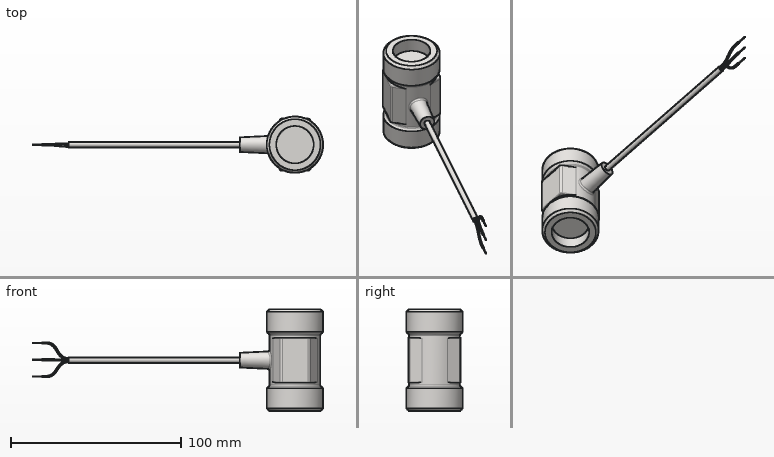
import cadquery as cq
import math

BODY_LENGTH = 60.0
OVERALL_X = 170.75

BODY_RADIUS = 30.0 / 2
COLLAR_RADIUS = 33.25 / 2
COLLAR_LENGTH = 15.0
COLLAR_CHAMFER = COLLAR_RADIUS - BODY_RADIUS
COLLAR_FOOT_FILLET = 1.0
BORE_DIAMETER = 22.0
BORE_DEPTH = 8.2

PAD_LENGTH = 26.6
PAD_FACE_OFFSET = 15.4
PAD_FLANK_ANGLE = 30.0
PAD_CORNER_RADIUS = 1.7
PAD_END_FILLET = 0.5

RELIEF_END_X = -32.3
RELIEF_END_RADIUS = 4.4
RELIEF_AXIS_RADIUS = 6.0
RELIEF_FILLET = 1.0

CABLE_DIAMETER = 3.4
CABLE_CORE_DIAMETER = 2.82
CABLE_END_X = -133.0
WIRE_DIAMETER = 1.02
WIRE_COUNT = 3
WIRE_SPREAD = 9.9
WIRE_FAN_CENTER_Z = 0.25
WIRE_BEND_END_X = -146.5
INSULATION_END_X = -148.5
CONDUCTOR_DIAMETER = 0.42
CONDUCTOR_END_X = COLLAR_RADIUS - OVERALL_X
WIRE_EMBED_LENGTH = 1.0

SELECTION_MARGIN = 0.1


def make_spool():
    """Body of revolution: neck, two chamfered collars and a blind bore in each end."""
    end_z = BODY_LENGTH / 2
    foot_z = end_z - COLLAR_LENGTH
    bore_radius = BORE_DIAMETER / 2
    upper_outline = [
        (BODY_RADIUS, foot_z),
        (COLLAR_RADIUS, foot_z + COLLAR_CHAMFER),
        (COLLAR_RADIUS, end_z - COLLAR_CHAMFER),
        (BODY_RADIUS, end_z),
        (bore_radius, end_z),
        (bore_radius, end_z - BORE_DEPTH),
        (0, end_z - BORE_DEPTH),
    ]
    lower_outline = [(radius, -z) for radius, z in reversed(upper_outline)]
    spool = (
        cq.Workplane("XZ")
        .polyline(upper_outline + lower_outline)
        .close()
        .revolve(360, (0, 0, 0), (0, 1, 0))
    )
    for foot in (foot_z, -foot_z):
        foot_edge = cq.selectors.BoxSelector(
            (-SELECTION_MARGIN, -SELECTION_MARGIN, foot - SELECTION_MARGIN),
            (SELECTION_MARGIN, SELECTION_MARGIN, foot + SELECTION_MARGIN),
        )
        spool = spool.edges(foot_edge).fillet(COLLAR_FOOT_FILLET)
    return spool


def make_pad(side):
    """Pad with a flat face at Y = side * PAD_FACE_OFFSET and flanks tangent to the body."""
    angle = math.radians(PAD_FLANK_ANGLE)
    tangent_x = BODY_RADIUS * math.cos(angle)
    tangent_y = BODY_RADIUS * math.sin(angle)
    corner_x = (BODY_RADIUS - PAD_FACE_OFFSET * math.sin(angle)) / math.cos(angle)
    outline = [
        (-tangent_x, side * tangent_y),
        (-corner_x, side * PAD_FACE_OFFSET),
        (corner_x, side * PAD_FACE_OFFSET),
        (tangent_x, side * tangent_y),
        (0, 0),
    ]
    rim = cq.selectors.BoxSelector(
        (-tangent_x, side * tangent_y, -PAD_LENGTH),
        (tangent_x, side * (PAD_FACE_OFFSET + SELECTION_MARGIN), PAD_LENGTH),
    )
    pad = cq.Workplane("XY").polyline(outline).close().extrude(PAD_LENGTH / 2, both=True)
    corners = cq.selectors.BoxSelector(
        (-BODY_RADIUS, side * (PAD_FACE_OFFSET - SELECTION_MARGIN), -PAD_LENGTH),
        (BODY_RADIUS, side * (PAD_FACE_OFFSET + SELECTION_MARGIN), PAD_LENGTH),
    )
    pad = pad.edges("|Z").edges(corners).fillet(PAD_CORNER_RADIUS)
    return pad.faces("|Z").edges(rim).fillet(PAD_END_FILLET)


def add_strain_relief(body):
    """Cone tapering away from the body along -X, with a fillet at its root."""
    cone = (
        cq.Workplane("XZ")
        .polyline(
            [
                (RELIEF_END_X, 0),
                (RELIEF_END_X, RELIEF_END_RADIUS),
                (0, RELIEF_AXIS_RADIUS),
                (0, 0),
            ]
        )
        .close()
        .revolve(360, (0, 0, 0), (1, 0, 0))
    )
    joined = body.union(cone)
    root = cq.selectors.BoxSelector(
        (-BODY_RADIUS - SELECTION_MARGIN, -RELIEF_AXIS_RADIUS, -RELIEF_AXIS_RADIUS),
        (-BODY_RADIUS / 2, RELIEF_AXIS_RADIUS, RELIEF_AXIS_RADIUS),
    )
    return joined.edges(root).fillet(RELIEF_FILLET)


def make_body():
    """Spool with the strain relief and both pads."""
    body = add_strain_relief(make_spool())
    for side in (1, -1):
        body = body.union(make_pad(side))
    return body


def rod(diameter, start, length):
    """Round rod running along -X from a start point."""
    plane = cq.Plane(origin=start, xDir=(0, 1, 0), normal=(-1, 0, 0))
    return cq.Workplane(plane).circle(diameter / 2).extrude(length)


def make_wire(y_start, z_start, z_end):
    """Insulated wire that leaves the cable at (y_start, z_start) and ends stripped at height z_end."""
    lead_in = (CABLE_END_X, y_start, z_start)
    bend_end = (WIRE_BEND_END_X, 0, z_end)
    path = cq.Workplane("XY").spline([lead_in, bend_end], tangents=[(-1, 0, 0), (-1, 0, 0)])
    profile_plane = cq.Plane(origin=lead_in, xDir=(0, 1, 0), normal=(-1, 0, 0))
    bent = cq.Workplane(profile_plane).circle(WIRE_DIAMETER / 2).sweep(path)
    anchor = rod(WIRE_DIAMETER, (CABLE_END_X + WIRE_EMBED_LENGTH, y_start, z_start), WIRE_EMBED_LENGTH)
    straight = rod(WIRE_DIAMETER, bend_end, WIRE_BEND_END_X - INSULATION_END_X)
    conductor = rod(CONDUCTOR_DIAMETER, bend_end, WIRE_BEND_END_X - CONDUCTOR_END_X)
    return bent.union(anchor).union(straight).union(conductor)


def make_cable():
    """Cable with three wires spaced evenly around its core."""
    cable = rod(CABLE_DIAMETER, (-BODY_RADIUS, 0, 0), -BODY_RADIUS - CABLE_END_X)
    wire_circle = (CABLE_CORE_DIAMETER - WIRE_DIAMETER) / 2
    for index in range(WIRE_COUNT):
        angle = math.pi / WIRE_COUNT * (1 + 2 * index)
        y_start = wire_circle * math.cos(angle)
        z_start = wire_circle * math.sin(angle)
        z_end = WIRE_FAN_CENTER_Z + WIRE_SPREAD * (1 - index)
        cable = cable.union(make_wire(y_start, z_start, z_end))
    return cable


result = make_body().union(make_cable())